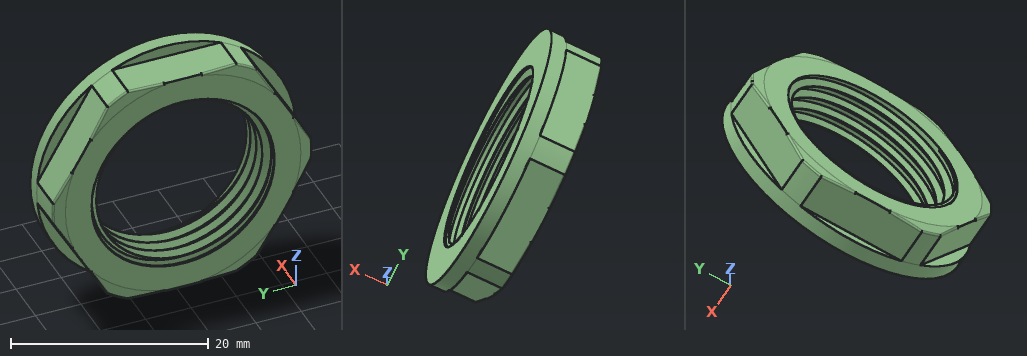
import cadquery as cq
import math

total_length = 5.96
flange_diameter = 28.64
flange_thickness = 1.7
across_flats = 26.0
flat_count = 6

crown_angle = 10.0
crown_edge_radius = 0.2

thread_major_diameter = 20.2
thread_minor_diameter = 18.65
thread_pitch = 1.5
thread_crest_width = 0.08
thread_flank_angle = 30.0
thread_start_angle = -59.0
mouth_recess_depth = 0.2
ridge_embedding = 0.2

flange_radius = flange_diameter / 2
major_radius = thread_major_diameter / 2
minor_radius = thread_minor_diameter / 2
crown_radius = across_flats / 2
hexagon_length = total_length - flange_thickness


def crowned_hexagon():
    """Hexagon with corners on the flange diameter, under a full cone that has its apex on the axis."""
    crown_slope = math.tan(math.radians(crown_angle))
    apex = -crown_radius * crown_slope
    rim = apex + flange_radius * crown_slope
    blank = (
        cq.Workplane("XY")
        .moveTo(apex, 0)
        .lineTo(rim, flange_radius)
        .lineTo(hexagon_length, flange_radius)
        .lineTo(hexagon_length, 0)
        .close()
        .revolve(360, (0, 0, 0), (1, 0, 0))
    )
    across_corners = across_flats / math.cos(math.pi / flat_count)
    prism = (
        cq.Workplane("YZ")
        .workplane(offset=apex)
        .polygon(flat_count, across_corners)
        .extrude(hexagon_length - apex)
    )
    return blank.intersect(prism)


def sharp_middles():
    """Slabs over the middle of each flat, where the crown edge is left sharp."""
    edge_setback = crown_edge_radius * math.tan(math.radians(45 - crown_angle / 2))
    rounding_start = crown_radius - edge_setback * math.cos(math.radians(crown_angle))
    half_width = math.sqrt(crown_radius**2 - rounding_start**2)
    slab = cq.Workplane("XY").box(hexagon_length, 2 * half_width, across_flats, centered=(False, True, True))
    slabs = slab
    for index in range(1, flat_count // 2):
        slabs = slabs.union(slab.rotate((0, 0, 0), (1, 0, 0), index * 360 / flat_count))
    return slabs


def hexagon_head():
    """Hexagon with a flat face, a conical crown and a crown edge rounded near the corners."""
    sharp = crowned_hexagon()
    rounded = sharp.faces("%CONE").edges().fillet(crown_edge_radius)
    face_side = cq.Workplane("YZ").circle(flange_radius).extrude(hexagon_length)
    return rounded.union(sharp.intersect(sharp_middles())).intersect(face_side)


def flange():
    return cq.Workplane("YZ").workplane(offset=hexagon_length).circle(flange_radius).extrude(flange_thickness)


def helix_ribbon(start, end, length):
    """Helical face swept by the line between two (radius, height) points."""
    edges = [
        cq.Wire.makeHelix(thread_pitch, length, radius).translate(cq.Vector(0, 0, height))
        for radius, height in (start, end)
    ]
    return cq.Face.makeRuledSurface(*edges)


def profile_cap(profile, height):
    """Flat face that closes the ridge at the given height."""
    corners = [cq.Vector(radius, 0, offset + height) for radius, offset in profile]
    return cq.Face.makeFromWires(cq.Wire.makePolygon(corners, close=True))


def thread_ridge():
    """Helical trapezoidal ridge, rooted in the wall and running past both ends of the bore."""
    root_radius = major_radius + ridge_embedding
    half_crest = thread_crest_width / 2
    half_root = half_crest + (root_radius - minor_radius) * math.tan(math.radians(thread_flank_angle))
    profile = [
        (root_radius, -half_root),
        (minor_radius, -half_crest),
        (minor_radius, half_crest),
        (root_radius, half_root),
    ]
    length = (math.ceil(total_length / thread_pitch) + 2) * thread_pitch
    next_points = profile[1:] + profile[:1]
    faces = [helix_ribbon(start, end, length) for start, end in zip(profile, next_points)]
    faces += [profile_cap(profile, 0), profile_cap(profile, length)]
    ridge = cq.Workplane(cq.Solid.makeSolid(cq.Shell.makeShell(faces)))
    return (
        ridge.rotate((0, 0, 0), (0, 1, 0), 90)
        .rotate((0, 0, 0), (1, 0, 0), thread_start_angle)
        .translate((-thread_pitch, 0, 0))
    )


def thread():
    """Thread ridge cut square a little way in from each end of the bore."""
    threaded_zone = (
        cq.Workplane("YZ")
        .workplane(offset=mouth_recess_depth)
        .circle(flange_radius)
        .extrude(total_length - 2 * mouth_recess_depth)
    )
    return thread_ridge().intersect(threaded_zone)


def bore():
    return cq.Workplane("YZ").circle(major_radius).extrude(total_length)


result = hexagon_head().union(flange()).cut(bore()).union(thread())